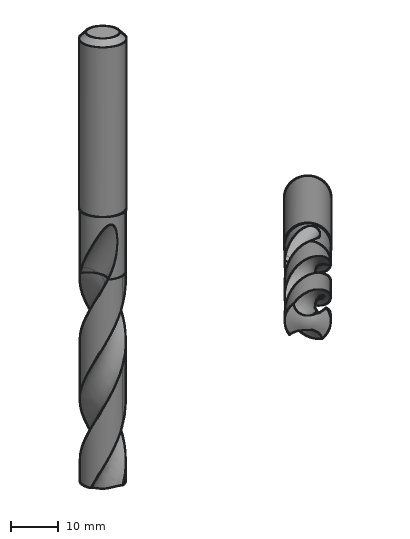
import cadquery as cq
import math

TOTAL_LENGTH = 103.0
SHANK_DIAMETER = 10.0
CUTTING_DIAMETER = 9.7
POINT_ANGLE = 140.0

CUTTING_BODY_TOP = 49.0
NECK_TOP = 63.2
SHANK_CHAMFER = 1.4

FLUTE_COUNT = 2
FLUTE_LEAD = 54.2
FLUTE_RADIUS = 3.3
FLUTE_OVERRUN = 4.1
RUNOUT_LENGTH = 20.6
FLUTE_END_ANGLE = -90.0

shank_radius = SHANK_DIAMETER / 2
cutting_radius = CUTTING_DIAMETER / 2
point_height = cutting_radius / math.tan(math.radians(POINT_ANGLE / 2))
helix_circumference = 2 * math.pi * cutting_radius


def make_helical_groove():
    """Groove that ends on the +X side at the top of the cutting body."""
    height = CUTTING_BODY_TOP + FLUTE_OVERRUN
    path = cq.Wire.makeHelix(FLUTE_LEAD, height, cutting_radius)
    section_plane = cq.Plane(
        origin=(cutting_radius, 0, 0),
        xDir=(1, 0, 0),
        normal=(0, helix_circumference, FLUTE_LEAD),
    )
    groove = cq.Workplane(section_plane).circle(FLUTE_RADIUS).sweep(path, isFrenet=True)
    turned_angle = 360 * height / FLUTE_LEAD
    return groove.rotate((0, 0, 0), (0, 0, 1), -turned_angle).translate((0, 0, -FLUTE_OVERRUN))


def make_runout():
    """Straight groove along the helix tangent, which rises out of the neck."""
    return cq.Workplane(cq.Solid.makeCylinder(
        FLUTE_RADIUS,
        RUNOUT_LENGTH,
        pnt=cq.Vector(cutting_radius, 0, CUTTING_BODY_TOP),
        dir=cq.Vector(0, helix_circumference, FLUTE_LEAD),
    ))


def cut_flutes(body):
    """Cut the helical grooves and their runouts, evenly spaced around the axis."""
    grooves = (make_helical_groove(), make_runout())
    for index in range(FLUTE_COUNT):
        angle = FLUTE_END_ANGLE + index * 360 / FLUTE_COUNT
        for groove in grooves:
            body = body.cut(groove.rotate((0, 0, 0), (0, 0, 1), angle))
    return body


def make_cutting_body():
    """Fluted lower body with its conical point."""
    blank = (
        cq.Workplane("XZ")
        .lineTo(cutting_radius, point_height)
        .lineTo(cutting_radius, CUTTING_BODY_TOP)
        .lineTo(0, CUTTING_BODY_TOP)
        .close()
        .revolve(360, (0, 0), (0, 1))
    )
    return cut_flutes(blank)


def make_shank():
    """Neck carrying the flute runouts, below the plain chamfered shank."""
    neck = (
        cq.Workplane("XY", origin=(0, 0, CUTTING_BODY_TOP))
        .circle(cutting_radius)
        .extrude(NECK_TOP - CUTTING_BODY_TOP)
    )
    handle = (
        cq.Workplane("XY", origin=(0, 0, NECK_TOP))
        .circle(shank_radius)
        .extrude(TOTAL_LENGTH - NECK_TOP)
        .faces(">Z")
        .chamfer(SHANK_CHAMFER)
    )
    return cut_flutes(neck).union(handle)


cutting_body = make_cutting_body()
shank = make_shank()

result = cq.Compound.makeCompound([cutting_body.solids().val(), shank.solids().val()])